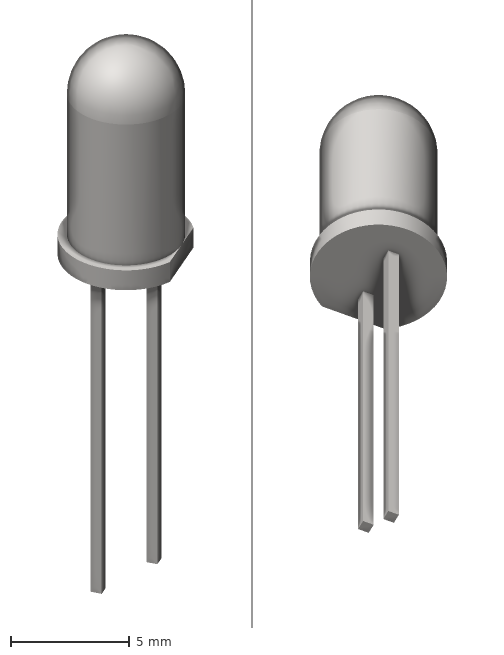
import cadquery as cq

total_height = 27.5
body_diameter = 5.0
cylinder_height = 7.0
flange_diameter = 5.8
flange_height = 1.0
lead_width = 0.5
lead_pitch = 2.5
short_lead_length = 15.0

body_radius = body_diameter / 2
cylinder_top = flange_height + cylinder_height
dome_top = cylinder_top + body_radius
long_lead_length = total_height - dome_top
flat_x = body_radius


def make_flange():
    """Round rim with a flat on its +X side."""
    rim = cq.Workplane("XY").circle(flange_diameter / 2).extrude(flange_height)
    trim = (
        cq.Workplane("XY")
        .box(flange_diameter, flange_diameter, flange_height, centered=(False, True, False))
        .translate((flat_x, 0, 0))
    )
    return rim.cut(trim)


def make_body():
    """Cylinder with a hemispherical dome, revolved about Z from a half profile."""
    dome_middle = body_radius * 0.5**0.5
    return (
        cq.Workplane("XZ")
        .lineTo(body_radius, 0)
        .lineTo(body_radius, cylinder_top)
        .threePointArc((dome_middle, cylinder_top + dome_middle), (0, dome_top))
        .close()
        .revolve(360, (0, 0, 0), (0, 1, 0))
    )


def make_lead(center_x, length):
    """Square lead hanging from the underside of the flange."""
    return cq.Workplane("XY").center(center_x, 0).rect(lead_width, lead_width).extrude(-length)


result = (
    make_flange()
    .union(make_body())
    .union(make_lead(-lead_pitch / 2, long_lead_length))
    .union(make_lead(lead_pitch / 2, short_lead_length))
)